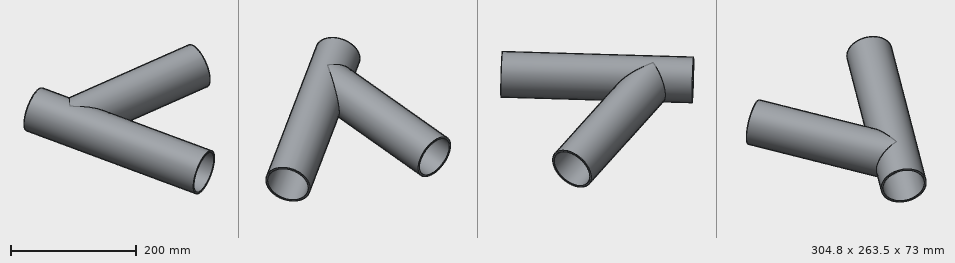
import cadquery as cq
import math

outer_diameter = 73.0
bore_diameter = 67.0

run_length = 304.8

branch_start_x = 63.5
branch_angle = 60.0
branch_length = 241.0

angle = math.radians(branch_angle)
run_plane = cq.Plane(origin=(0, 0, 0), xDir=(0, 1, 0), normal=(1, 0, 0))
branch_plane = cq.Plane(
    origin=(branch_start_x, 0, 0),
    xDir=(0, 0, 1),
    normal=(math.cos(angle), math.sin(angle), 0),
)


def rod(plane, diameter, length):
    """Solid cylinder growing from the plane along its normal."""
    return cq.Workplane(plane).circle(diameter / 2).extrude(length)


def wye(diameter):
    """Run and branch cylinders of one diameter, joined."""
    run = rod(run_plane, diameter, run_length)
    branch = rod(branch_plane, diameter, branch_length)
    return run.union(branch)


result = wye(outer_diameter).cut(wye(bore_diameter))